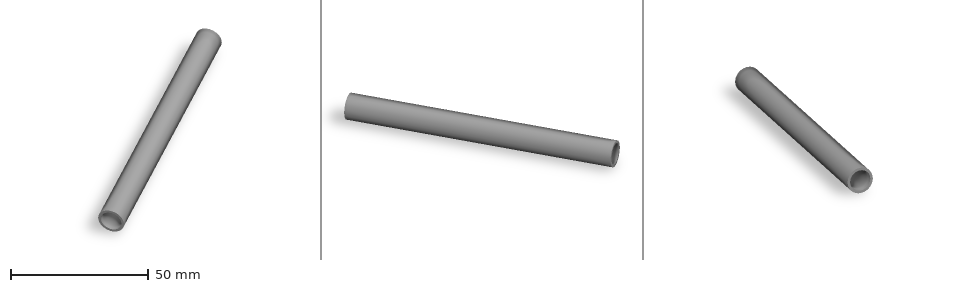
import cadquery as cq

length = 103.0
outer_diameter = 10.0
wall_thickness = 1.0
inner_diameter = outer_diameter - 2 * wall_thickness

result = (
    cq.Workplane("XZ", origin=(0, length / 2, 0))
    .circle(outer_diameter / 2)
    .circle(inner_diameter / 2)
    .extrude(length)
)